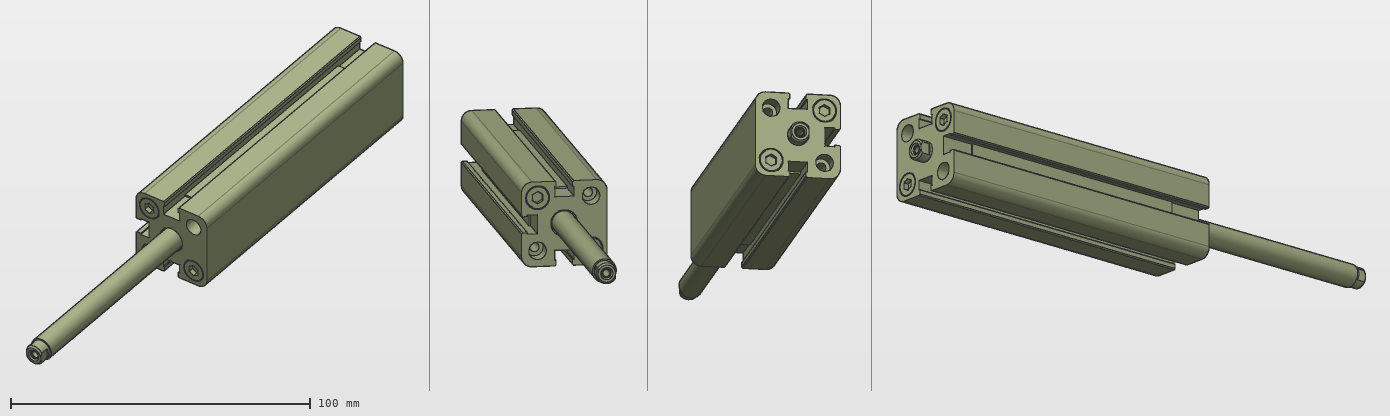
import cadquery as cq

total_length = 197.0
rod_front = -total_length / 2
rod_back = total_length / 2
body_front = -19.1
body_back = 94.0
cap_length = 12.5
tube_front = body_front + cap_length
tube_back = body_back - cap_length

body_side = 29.0
corner_radius = 3.5

slot_mouth = 5.5
slot_width = 6.5
slot_lip = 2.0
tube_slot_depth = 4.7
cap_slot_depth = 5.3
mouth_chamfer = 0.4
slot_angles = (0, -90, 180)

corner_offset = 9.0
screw_bore_diameter = 8.0
screw_head_diameter = 7.5
screw_gap_depth = 2.0
socket_across_corners = 4.1
socket_depth = 2.0
mount_bore_diameter = 6.0
mount_bore_depth = 6.0
mount_hole_diameter = 3.2

rod_diameter = 8.0
seal_diameter = 9.0
seal_depth = 1.0
tip_length = 4.5
tip_diameter = 7.0
tip_chamfer = 0.5
tip_across_flats = 6.0
flat_length = 3.5
end_hole_diameter = 2.4
end_hole_depth = 9.8
end_bore_diameter = 3.2
end_bore_depth = 1.0
countersink_diameter = 4.1


def cylinder(diameter, start, end, x=0, z=0):
    """Round bar parallel to Y between two Y positions."""
    disc = cq.Workplane("XZ", origin=(x, start, z)).circle(diameter / 2)
    return disc.extrude(start - end)


def block(width, height, start, end):
    """Rectangular block along Y, centred on the rod axis."""
    length = end - start
    return cq.Workplane("XY").box(width, length, height).translate((0, (start + end) / 2, 0))


def slot_cutter(depth, start, end):
    """T-slot cutter for the top face, with chamfered mouth edges."""
    top = body_side / 2
    half_mouth = slot_mouth / 2
    half_width = slot_width / 2
    half_section = [
        (half_mouth + mouth_chamfer, top),
        (half_mouth, top - mouth_chamfer),
        (half_mouth, top - slot_lip),
        (half_width, top - slot_lip),
        (half_width, top - depth),
    ]
    mirrored = [(-x, z) for x, z in reversed(half_section)]
    outline = cq.Workplane("XZ", origin=(0, start, 0)).polyline(half_section + mirrored).close()
    return outline.extrude(start - end)


def make_body():
    """Rounded square bar with slots on the top, left and bottom sides."""
    body = block(body_side, body_side, body_front, body_back).edges("|Y").fillet(corner_radius)
    sections = (
        (cap_slot_depth, body_front, tube_front),
        (tube_slot_depth, tube_front, tube_back),
        (cap_slot_depth, tube_back, body_back),
    )
    for depth, start, end in sections:
        cutter = slot_cutter(depth, start, end)
        for angle in slot_angles:
            body = body.cut(cutter.rotate((0, 0, 0), (0, 1, 0), angle))
    return body


def cut_mount_hole(body, x, z):
    """Through hole with a wider bore at both ends."""
    body = body.cut(cylinder(mount_hole_diameter, body_front, body_back, x, z))
    body = body.cut(cylinder(mount_bore_diameter, body_front, body_front + mount_bore_depth, x, z))
    return body.cut(cylinder(mount_bore_diameter, body_back - mount_bore_depth, body_back, x, z))


def cut_screw(body, face, inward, x, z):
    """Ring gap around a flush screw head, and its hexagon socket."""
    gap_end = face + inward * screw_gap_depth
    bore = cylinder(screw_bore_diameter, face, gap_end, x, z)
    head = cylinder(screw_head_diameter, face, gap_end, x, z)
    socket = (
        cq.Workplane("XZ", origin=(x, face, z))
        .transformed(rotate=(0, 0, 90))
        .polygon(6, socket_across_corners)
        .extrude(-inward * socket_depth)
    )
    return body.cut(bore.cut(head)).cut(socket)


def make_rod():
    """Through rod with a chamfered, flatted tip at both ends."""
    tips = cylinder(tip_diameter, rod_front, rod_back).faces("<Y or >Y").chamfer(tip_chamfer)
    tip_core = block(tip_across_flats, tip_diameter, rod_front, rod_back)
    shoulder = cylinder(tip_diameter, rod_front + flat_length, rod_back - flat_length)
    main = cylinder(rod_diameter, rod_front + tip_length, rod_back - tip_length)
    return tips.intersect(tip_core).union(shoulder).union(main)


def cone_along_y(base_diameter, end_diameter, face, inward):
    """45-degree cone about the rod axis, narrowing inward from a face."""
    base_radius = base_diameter / 2
    end_radius = end_diameter / 2
    height = base_radius - end_radius
    return cq.Workplane(
        cq.Solid.makeCone(base_radius, end_radius, height, cq.Vector(0, face, 0), cq.Vector(0, inward, 0))
    )


def cut_end_hole(part, face, inward):
    """Countersunk, stepped axial hole with a conical bottom."""
    hole_bottom = face + inward * end_hole_depth
    countersink = cone_along_y(countersink_diameter, end_bore_diameter, face, inward)
    bore = cylinder(end_bore_diameter, face, face + inward * end_bore_depth)
    hole = cylinder(end_hole_diameter, face, hole_bottom)
    drill_point = cone_along_y(end_hole_diameter, 0, hole_bottom, inward)
    return part.cut(countersink).cut(bore).cut(hole.union(drill_point))


body = make_body()
for side in (1, -1):
    body = cut_mount_hole(body, side * corner_offset, side * corner_offset)
    for face, inward in ((body_front, 1), (body_back, -1)):
        body = cut_screw(body, face, inward, side * corner_offset, -side * corner_offset)
body = body.cut(cylinder(seal_diameter, body_front, body_front + seal_depth))

result = body.union(make_rod())
for face, inward in ((rod_front, 1), (rod_back, -1)):
    result = cut_end_hole(result, face, inward)